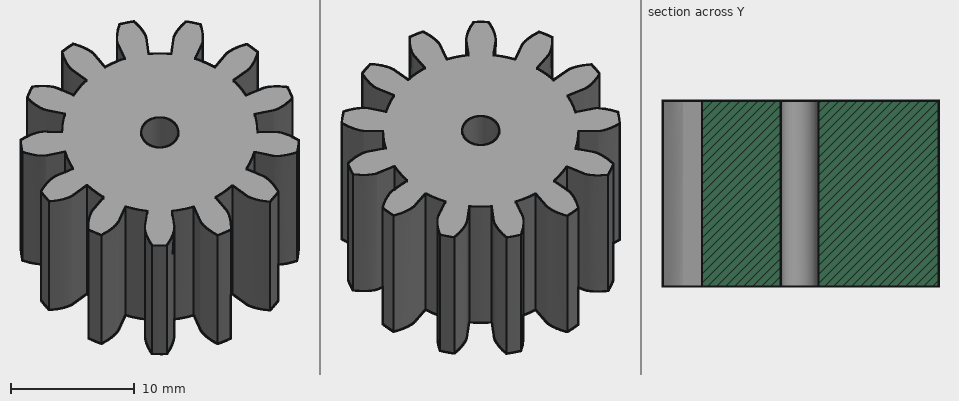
import cadquery as cq
import math

tooth_count = 13
module = 1.5
pressure_angle = math.radians(14.5)
face_width = 15.0
bore_diameter = 3.0
dedendum_factor = 1.25
flank_point_count = 7

pitch_radius = module * tooth_count / 2
tip_radius = pitch_radius + module
root_radius = pitch_radius - dedendum_factor * module
base_radius = pitch_radius * math.cos(pressure_angle)

tooth_pitch_angle = 2 * math.pi / tooth_count
involute_at_pitch = math.tan(pressure_angle) - pressure_angle
base_half_angle = tooth_pitch_angle / 4 + involute_at_pitch


def polar(radius, angle):
    """Point at a given radius and angle about the gear axis."""
    return (radius * math.cos(angle), radius * math.sin(angle))


def involute_flank(side):
    """Points from the base circle to the tip; side is +1 or -1 of the tooth centreline."""
    tip_roll = math.sqrt((tip_radius / base_radius) ** 2 - 1)
    points = []
    for i in range(flank_point_count):
        roll = tip_roll * i / (flank_point_count - 1)
        radius = base_radius * math.sqrt(1 + roll**2)
        unwrapped_angle = roll - math.atan(roll)
        points.append(polar(radius, side * (base_half_angle - unwrapped_angle)))
    return points


def make_tooth():
    """Tooth along +X: radial below the base circle, involute above it, capped by the tip circle."""
    lower_flank = involute_flank(-1)
    upper_flank = involute_flank(1)
    return (
        cq.Workplane("XY")
        .lineTo(*lower_flank[0])
        .spline(lower_flank[1:], includeCurrent=True)
        .threePointArc((tip_radius, 0), upper_flank[-1])
        .spline(upper_flank[-2::-1], includeCurrent=True)
        .close()
        .extrude(face_width)
    )


def make_gear():
    """Root cylinder with evenly spaced teeth and a through bore."""
    gear = cq.Workplane("XY").circle(root_radius).extrude(face_width)
    tooth = make_tooth()
    for i in range(tooth_count):
        angle = math.degrees(i * tooth_pitch_angle)
        gear = gear.union(tooth.rotate((0, 0, 0), (0, 0, 1), angle))
    bore = cq.Workplane("XY").circle(bore_diameter / 2).extrude(face_width)
    return gear.cut(bore)


result = make_gear()